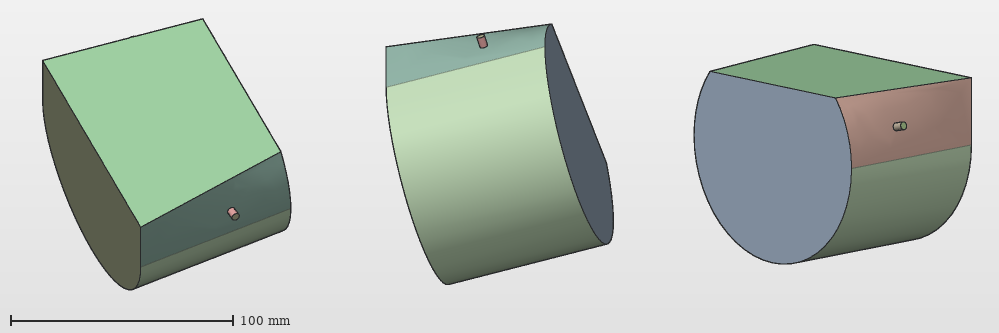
import cadquery as cq
import math

overall_width = 109.9
overall_height = 82.0
depth = 75.0
radius = 51.1
block_height = overall_height - radius

pin_diameter = 3.6
pin_tilt = 14.0
pin_length = 8.8
pin_y = 45.7
left_pin_tip_z = 15.9
right_pin_tip_z = 15.5


def make_lower_half():
    return (
        cq.Workplane("XZ")
        .moveTo(-radius, 0)
        .threePointArc((0, -radius), (radius, 0))
        .close()
        .extrude(-depth)
    )


def make_upper_block():
    """Loft from a rectangle at the front to a truncated circle at the back."""
    back_half_width = math.sqrt(radius**2 - block_height**2)
    half_angle = math.asin(block_height / radius) / 2
    arc_x = radius * math.cos(half_angle)
    arc_z = radius * math.sin(half_angle)
    front = (
        cq.Workplane("XZ")
        .moveTo(-radius, 0)
        .lineTo(radius, 0)
        .lineTo(radius, block_height)
        .lineTo(-radius, block_height)
        .close()
    )
    back = (
        cq.Workplane("XZ", origin=(0, depth, 0))
        .moveTo(-radius, 0)
        .lineTo(radius, 0)
        .threePointArc((arc_x, arc_z), (back_half_width, block_height))
        .lineTo(-back_half_width, block_height)
        .threePointArc((-arc_x, arc_z), (-radius, 0))
        .close()
    )
    block = cq.Solid.makeLoft([front.val(), back.val()], True)
    return cq.Workplane(block)


def make_pin(side, tip_z, housing):
    """Tilted round pin on the wall at side = -1 or +1, its root trimmed to the wall."""
    tilt = math.radians(pin_tilt)
    tip_x = side * (overall_width / 2 - pin_diameter / 2 * math.sin(tilt))
    inward = cq.Vector(-side * math.cos(tilt), 0, -math.sin(tilt))
    tip = cq.Vector(tip_x, pin_y, tip_z)
    pin = cq.Solid.makeCylinder(pin_diameter / 2, pin_length, tip, inward)
    return cq.Workplane(pin).cut(housing)


housing = make_lower_half().union(make_upper_block())
pins = []
for side, tip_z in ((-1, left_pin_tip_z), (1, right_pin_tip_z)):
    pins.append(make_pin(side, tip_z, housing).solids().val())

result = cq.Compound.makeCompound([housing.solids().val(), *pins])